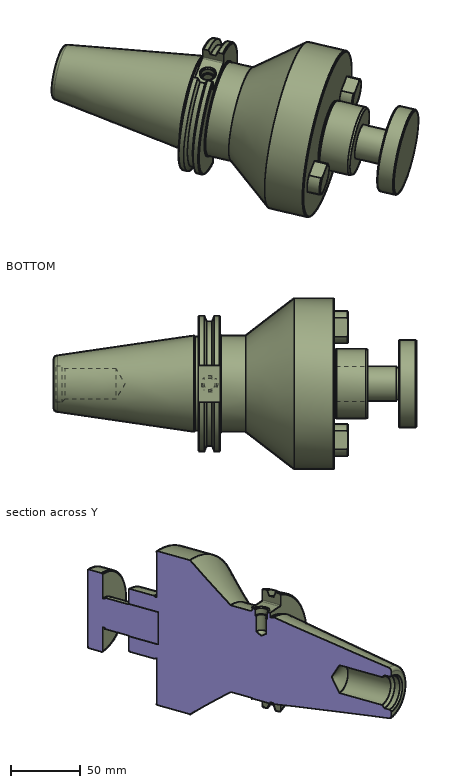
import cadquery as cq
import math


gauge_length = 101.6
gauge_dia = 69.85
taper_rate = 7 / 24
small_end_dia = gauge_dia - taper_rate * gauge_length
small_end_fillet = 3.0

flange_dia = 98.43
flange_start = gauge_length + 3.18
flange_end = gauge_length + 19.05
flange_chamfer = 0.8
undercut_dia = 68.5
undercut_chamfer = 0.8
groove_center = gauge_length + 11.1
groove_depth = 3.92
groove_floor_width = 3.8
groove_top_width = 7.2

neck_dia = gauge_dia
neck_end = 138.9
neck_fillet = 0.8
body_dia = 123.83
body_cone_end = 174.0
body_end = gauge_length + 101.6
body_chamfer = 0.8

pilot_dia = 50.8
pilot_end = 227.3
pilot_relief_dia = 49.28
pilot_relief_width = 0.8
pilot_chamfer = (pilot_dia - pilot_relief_dia) / 2
pilot_end_chamfer_length = 1.6

bore_mouth_dia = 28.2
bore_mouth_depth = 1.6
counterbore_dia = 26.16
counterbore_depth = 6.0
bore_dia = 21.97
bore_depth = 45.0
bore_taper_end = counterbore_depth + (counterbore_dia - bore_dia) / 2
drill_half_angle = math.radians(59)

slot_width = 26.8
slot_corner_radius = 0.8
upper_slot_floor = 37.7
lower_slot_floor = 35.3

set_hole_mouth_dia = 12.0
set_hole_dia = 10.13
set_hole_step_depth = 5.5
set_hole_drill_dia = 8.0
set_hole_depth = 18.0

key_dia = 23.44
key_thickness = 19.05
key_length = 9.9
key_chamfer = 0.8
key_offset = 40.8

screw_end = 262.51
head_dia = 63.5
head_thickness = 13.0
head_chamfer = 0.8
shank_dia = 25.4
shank_insertion = 25.4
relief_dia = 23.44
relief_width = 1.6


def turned(points):
    """Solid of revolution about the X axis from (x, radius) points above the axis."""
    return cq.Workplane("XY").polyline(points).close().revolve(360, (0, 0, 0), (1, 0, 0))


def cone_depth(dia):
    """Depth of a drill point of the given diameter."""
    return dia / 2 / math.tan(drill_half_angle)


def holder_blank():
    gauge_r = gauge_dia / 2
    undercut_r = undercut_dia / 2
    flange_r = flange_dia / 2
    flange_edge_r = flange_r - flange_chamfer
    floor_r = flange_r - groove_depth
    body_r = body_dia / 2
    pilot_r = pilot_dia / 2
    relief_r = pilot_relief_dia / 2
    pilot_start = body_end + pilot_relief_width
    outline = [
        (0, 0),
        (0, small_end_dia / 2),
        (gauge_length, gauge_r),
        (gauge_length + undercut_chamfer, undercut_r),
        (flange_start, undercut_r),
        (flange_start, flange_edge_r),
        (flange_start + flange_chamfer, flange_r),
        (groove_center - groove_top_width / 2, flange_r),
        (groove_center - groove_floor_width / 2, floor_r),
        (groove_center + groove_floor_width / 2, floor_r),
        (groove_center + groove_top_width / 2, flange_r),
        (flange_end - flange_chamfer, flange_r),
        (flange_end, flange_edge_r),
        (flange_end, neck_dia / 2 + neck_fillet),
        (flange_end + neck_fillet, neck_dia / 2),
        (neck_end, neck_dia / 2),
        (body_cone_end, body_r),
        (body_end - body_chamfer, body_r),
        (body_end, body_r - body_chamfer),
        (body_end, relief_r),
        (pilot_start, relief_r),
        (pilot_start + pilot_chamfer, pilot_r),
        (pilot_end - pilot_end_chamfer_length, pilot_r),
        (pilot_end, relief_r),
        (pilot_end, 0),
    ]
    small_end_edge = cq.selectors.BoxSelector((-0.1, -gauge_r, -gauge_r), (0.1, gauge_r, gauge_r))
    return turned(outline).edges(small_end_edge).fillet(small_end_fillet)


def taper_bore():
    bore_r = bore_dia / 2
    return turned([
        (0, 0),
        (0, bore_mouth_dia / 2),
        (bore_mouth_depth, counterbore_dia / 2),
        (counterbore_depth, counterbore_dia / 2),
        (bore_taper_end, bore_r),
        (bore_depth, bore_r),
        (bore_depth + cone_depth(bore_dia), 0),
    ])


def drive_slot(floor, side):
    """Cutter for one slot across the flange, on the +Z (side 1) or -Z (side -1) half."""
    height = flange_dia / 2
    return (
        cq.Workplane("XY")
        .box(flange_end - flange_start, slot_width, height, centered=(False, True, False))
        .edges("|X and <Z").fillet(slot_corner_radius)
        .translate((flange_start, 0, floor))
        .rotate((0, 0, 0), (1, 0, 0), 90 - 90 * side)
    )


def set_screw_hole():
    mouth_r = set_hole_mouth_dia / 2
    hole_r = set_hole_dia / 2
    drill_r = set_hole_drill_dia / 2
    step = upper_slot_floor - set_hole_step_depth
    bottom = upper_slot_floor - set_hole_depth
    return (
        cq.Workplane("XZ")
        .polyline([
            (0, upper_slot_floor),
            (mouth_r, upper_slot_floor),
            (hole_r, upper_slot_floor - (mouth_r - hole_r)),
            (hole_r, step),
            (drill_r, step),
            (drill_r, bottom),
            (0, bottom - cone_depth(set_hole_drill_dia)),
        ])
        .close()
        .revolve(360, (0, 0, 0), (0, 1, 0))
        .translate(((flange_start + flange_end) / 2, 0, 0))
    )


def clamp_screw():
    shank_r = shank_dia / 2
    head_r = head_dia / 2
    head_start = screw_end - head_thickness
    return turned([
        (pilot_end - shank_insertion, 0),
        (pilot_end - shank_insertion, shank_r),
        (head_start - relief_width, shank_r),
        (head_start - relief_width, relief_dia / 2),
        (head_start, relief_dia / 2),
        (head_start, head_r - head_chamfer),
        (head_start + head_chamfer, head_r),
        (screw_end - head_chamfer, head_r),
        (screw_end, head_r - head_chamfer),
        (screw_end, 0),
    ])


def screw_hole():
    return (
        cq.Workplane("YZ", origin=(pilot_end - shank_insertion, 0, 0))
        .circle(shank_dia / 2)
        .extrude(shank_insertion)
    )


def drive_key(side):
    """Round key with two flats, on the +Y (side 1) or -Y (side -1) half of the body face."""
    disc = (
        cq.Workplane("YZ")
        .circle(key_dia / 2)
        .extrude(key_length)
        .faces(">X").chamfer(key_chamfer)
    )
    flats = cq.Workplane("XY").box(2 * key_length, key_dia, key_thickness)
    return disc.intersect(flats).translate((body_end, side * key_offset, 0))


holder = (
    holder_blank()
    .cut(taper_bore())
    .cut(drive_slot(upper_slot_floor, 1))
    .cut(drive_slot(lower_slot_floor, -1))
    .cut(set_screw_hole())
    .cut(screw_hole())
)
keys = [drive_key(side) for side in (1, -1)]
screw = clamp_screw()

result = cq.Compound.makeCompound([holder.val(), *[key.val() for key in keys], screw.val()])